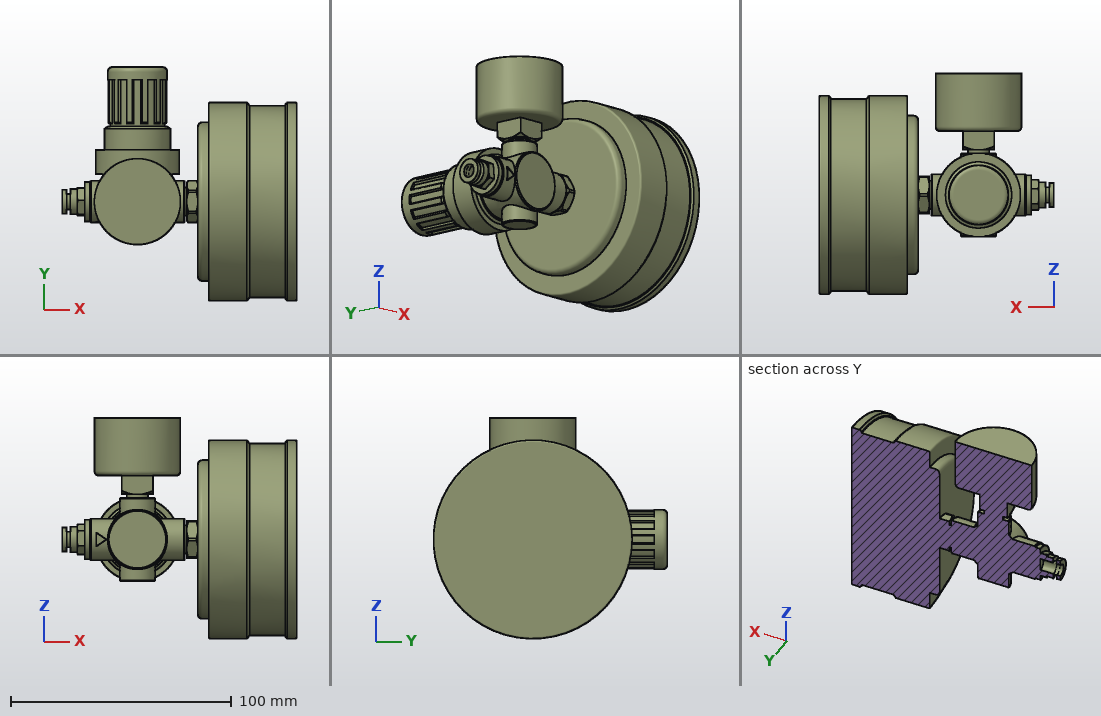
import cadquery as cq
import math


BODY_FRONT_Y = -10.0
BODY_FRONT_R = 13.5
BODY_REAR_R = 14.0
BODY_CHAMFER = 0.6
SEAT_Y = 11.5
SEAT_SMALL_R = 14.9
SEAT_LARGE_R = 16.2
COLLAR_Y = 12.5
COLLAR_R = 19.0
NECK_Y = 23.4
NECK_R = 15.0
NECK_END_Y = 34.1
NECK_CHAMFER_LENGTH = 1.1
NECK_CHAMFER_DEPTH = 1.7

KNOB_START_Y = 35.2
KNOB_END_Y = 61.0
KNOB_R = 13.5
KNOB_EDGE_R = 2.2
KNOB_CHAMFER = 0.8
FLUTE_COUNT = 12
FLUTE_FLOOR_R = 12.4
FLUTE_END_Y = 55.1
FLUTE_HALF_WIDTH = 2.35
FLUTE_FLOOR_HALF_WIDTH = 1.65
FLUTE_OVERCUT = 0.8

FLOW_PORT_R = 9.5
FLOW_PORT_HALF_LENGTH = 21.5
GAUGE_PORT_R = 8.0
GAUGE_PORT_HALF_LENGTH = 19.0
PORT_CHAMFER = 0.5

ARROW_BASE_X = -18.6
ARROW_TIP_X = -14.0
ARROW_HALF_HEIGHT = 3.1
ARROW_FACE_Y = -9.6

FITTING_FLANGE_X = -23.9
FITTING_FLANGE_R = 9.0
FITTING_HEX_X = -27.3
FITTING_HEX_FLATS = 12.0
FITTING_HEX_CHAMFER_R = 6.3
FITTING_HEX_TURN = 25.0
FITTING_COLLAR_X = -30.4
FITTING_COLLAR_R = 5.8
FITTING_NECK_X = -32.1
FITTING_NECK_R = 7.1 / 2
FITTING_END_X = -34.1
FITTING_LIP_R = 5.5
TUBE_BORE_R = 3.0
TUBE_BORE_END_X = FITTING_FLANGE_X

COUPLING_X = 22.4
COUPLING_STUB_R = 12.9 / 2
COUPLING_FLATS = 17.0
COUPLING_CORNER_R = 9.5
COUPLING_CHAMFER = 0.6
COUPLING_CHAMFER_R = 8.6

PLATE_X = 27.3
PLATE_R = 36.0
PLATE_EDGE_R = 2.2
CASE_X = 32.2
CASE_R = 45.0
CASE_EDGE = 0.9
CASE_STEP_X = 49.6
WAIST_X = 50.8
WAIST_R = 43.5
RIM_X = 66.9
RIM_CHAMFER = 1.0
GAUGE_END_X = 72.2

STEM_R = 9.73 / 2
SQUARE_Z = 20.5
SQUARE_SIDE = 14.2
SQUARE_CHAMFER_R = 7.4
DIAL_Z = 28.9
DIAL_R = 19.5
DIAL_EDGE_R = 2.0
DIAL_TOP_Z = 55.0

HEX_SIDES = 6
HEX_HALF_ANGLE = math.pi / HEX_SIDES
CHAMFER_TAN = math.tan(math.radians(30))


def x_cylinder(radius, start, end):
    return cq.Workplane("YZ").workplane(offset=start).circle(radius).extrude(end - start)


def y_cylinder(radius, start, end):
    return cq.Workplane("XZ", origin=(0, start, 0)).circle(radius).extrude(start - end)


def z_cylinder(radius, start, end):
    return cq.Workplane("XY").workplane(offset=start).circle(radius).extrude(end - start)


def revolve_about_x(outline):
    return outline.close().revolve(360, (0, 0, 0), (1, 0, 0))


def revolve_about_y(outline):
    return outline.close().revolve(360, (0, 0, 0), (0, 1, 0))


def x_hexagon(flats, start, end, turn):
    """Hexagonal bar along X, with two corners on the Y axis when turn is zero."""
    corner_diameter = flats / math.cos(HEX_HALF_ANGLE)
    bar = cq.Workplane("YZ").workplane(offset=start).polygon(HEX_SIDES, corner_diameter).extrude(end - start)
    return bar.rotate((0, 0, 0), (1, 0, 0), turn)


def make_body():
    outline = (
        cq.Workplane("XY")
        .moveTo(0, BODY_FRONT_Y)
        .lineTo(BODY_FRONT_R - BODY_CHAMFER, BODY_FRONT_Y)
        .lineTo(BODY_FRONT_R, BODY_FRONT_Y + BODY_CHAMFER)
        .lineTo(BODY_REAR_R, SEAT_Y)
        .lineTo(SEAT_SMALL_R, SEAT_Y)
        .lineTo(SEAT_LARGE_R, COLLAR_Y)
        .lineTo(COLLAR_R, COLLAR_Y)
        .lineTo(COLLAR_R, NECK_Y)
        .lineTo(NECK_R, NECK_Y)
        .lineTo(NECK_R, NECK_END_Y - NECK_CHAMFER_LENGTH)
        .lineTo(NECK_R - NECK_CHAMFER_DEPTH, NECK_END_Y)
        .lineTo(0, NECK_END_Y)
    )
    return revolve_about_y(outline)


def make_flute_cutter():
    """Bar along Y at the +Z side of the knob, with slanted flanks and a floor on a circle."""
    slope = (FLUTE_HALF_WIDTH - FLUTE_FLOOR_HALF_WIDTH) / (KNOB_R - FLUTE_FLOOR_R)
    top_r = KNOB_R + FLUTE_OVERCUT
    base_r = FLUTE_FLOOR_R - FLUTE_OVERCUT
    top_half_width = FLUTE_HALF_WIDTH + slope * FLUTE_OVERCUT
    base_half_width = FLUTE_FLOOR_HALF_WIDTH - slope * FLUTE_OVERCUT
    bar = (
        cq.Workplane("XZ", origin=(0, KNOB_START_Y, 0))
        .moveTo(-base_half_width, base_r)
        .lineTo(base_half_width, base_r)
        .lineTo(top_half_width, top_r)
        .lineTo(-top_half_width, top_r)
        .close()
        .extrude(KNOB_START_Y - FLUTE_END_Y)
    )
    return bar.cut(y_cylinder(FLUTE_FLOOR_R, KNOB_START_Y, FLUTE_END_Y))


def make_knob():
    knob = (
        y_cylinder(KNOB_R, KNOB_START_Y, KNOB_END_Y)
        .faces(">Y").edges().fillet(KNOB_EDGE_R)
        .faces("<Y").edges().chamfer(KNOB_CHAMFER)
    )
    flute = make_flute_cutter()
    for index in range(FLUTE_COUNT):
        knob = knob.cut(flute.rotate((0, 0, 0), (0, 1, 0), index * 360 / FLUTE_COUNT))
    shank = y_cylinder(FLUTE_FLOOR_R, NECK_END_Y, KNOB_START_Y)
    return knob.union(shank)


def make_ports():
    flow_port = x_cylinder(FLOW_PORT_R, -FLOW_PORT_HALF_LENGTH, FLOW_PORT_HALF_LENGTH)
    flow_port = flow_port.faces("<X or >X").edges().chamfer(PORT_CHAMFER)
    arrow = (
        cq.Workplane("XZ", origin=(0, ARROW_FACE_Y, 0))
        .moveTo(ARROW_BASE_X, -ARROW_HALF_HEIGHT)
        .lineTo(ARROW_TIP_X, 0)
        .lineTo(ARROW_BASE_X, ARROW_HALF_HEIGHT)
        .close()
        .extrude(ARROW_FACE_Y)
    )
    gauge_port = z_cylinder(GAUGE_PORT_R, -GAUGE_PORT_HALF_LENGTH, GAUGE_PORT_HALF_LENGTH)
    gauge_port = gauge_port.faces("<Z or >Z").edges().chamfer(PORT_CHAMFER)
    return flow_port.union(arrow).union(gauge_port)


def make_inlet_fitting():
    flange = x_cylinder(FITTING_FLANGE_R, FITTING_FLANGE_X, -FLOW_PORT_HALF_LENGTH)

    hexagon = x_hexagon(FITTING_HEX_FLATS, FITTING_HEX_X, FITTING_FLANGE_X, FITTING_HEX_TURN)
    hex_length = FITTING_FLANGE_X - FITTING_HEX_X
    cone = revolve_about_x(
        cq.Workplane("XY")
        .moveTo(FITTING_HEX_X, 0)
        .lineTo(FITTING_HEX_X, FITTING_HEX_CHAMFER_R)
        .lineTo(FITTING_FLANGE_X, FITTING_HEX_CHAMFER_R + hex_length / CHAMFER_TAN)
        .lineTo(FITTING_FLANGE_X, 0)
    )
    hexagon = hexagon.intersect(cone)

    collar = x_cylinder(FITTING_COLLAR_R, FITTING_COLLAR_X, FITTING_HEX_X)
    neck = x_cylinder(FITTING_NECK_R, FITTING_NECK_X, FITTING_COLLAR_X)
    lip = x_cylinder(FITTING_LIP_R, FITTING_END_X, FITTING_NECK_X)
    bore = x_cylinder(TUBE_BORE_R, FITTING_END_X, TUBE_BORE_END_X)
    return flange.union(hexagon).union(collar).union(neck).union(lip).cut(bore)


def make_outlet_coupling():
    stub = x_cylinder(COUPLING_STUB_R, FLOW_PORT_HALF_LENGTH, COUPLING_X)
    envelope = revolve_about_x(
        cq.Workplane("XY")
        .moveTo(COUPLING_X, 0)
        .lineTo(COUPLING_X, COUPLING_CHAMFER_R)
        .lineTo(COUPLING_X + COUPLING_CHAMFER, COUPLING_CORNER_R)
        .lineTo(PLATE_X - COUPLING_CHAMFER, COUPLING_CORNER_R)
        .lineTo(PLATE_X, COUPLING_CHAMFER_R)
        .lineTo(PLATE_X, 0)
    )
    hexagon = x_hexagon(COUPLING_FLATS, COUPLING_X, PLATE_X, 0).intersect(envelope)
    return stub.union(hexagon)


def make_large_gauge():
    plate = x_cylinder(PLATE_R, PLATE_X, CASE_X).faces("<X").edges().fillet(PLATE_EDGE_R)
    case = revolve_about_x(
        cq.Workplane("XY")
        .moveTo(CASE_X, 0)
        .lineTo(CASE_X, CASE_R - CASE_EDGE)
        .radiusArc((CASE_X + CASE_EDGE, CASE_R), CASE_EDGE)
        .lineTo(CASE_STEP_X, CASE_R)
        .lineTo(WAIST_X, WAIST_R)
        .lineTo(RIM_X, WAIST_R)
        .lineTo(RIM_X, CASE_R - RIM_CHAMFER)
        .lineTo(RIM_X + RIM_CHAMFER, CASE_R)
        .lineTo(GAUGE_END_X - CASE_EDGE, CASE_R)
        .radiusArc((GAUGE_END_X, CASE_R - CASE_EDGE), CASE_EDGE)
        .lineTo(GAUGE_END_X, 0)
    )
    return plate.union(case)


def make_small_gauge():
    stem = z_cylinder(STEM_R, GAUGE_PORT_HALF_LENGTH, SQUARE_Z)

    square_height = DIAL_Z - SQUARE_Z
    square = (
        cq.Workplane("XY", origin=(0, 0, SQUARE_Z))
        .rect(SQUARE_SIDE, SQUARE_SIDE)
        .extrude(square_height)
    )
    cone = (
        cq.Workplane("XZ")
        .moveTo(0, SQUARE_Z)
        .lineTo(SQUARE_CHAMFER_R, SQUARE_Z)
        .lineTo(SQUARE_CHAMFER_R + square_height / CHAMFER_TAN, DIAL_Z)
        .lineTo(0, DIAL_Z)
        .close()
        .revolve(360, (0, 0, 0), (0, 1, 0))
    )
    dial = z_cylinder(DIAL_R, DIAL_Z, DIAL_TOP_Z).faces("<Z").edges().fillet(DIAL_EDGE_R)
    return stem.union(square.intersect(cone)).union(dial)


result = (
    make_body()
    .union(make_knob())
    .union(make_ports())
    .union(make_inlet_fitting())
    .union(make_outlet_coupling())
    .union(make_large_gauge())
    .union(make_small_gauge())
)